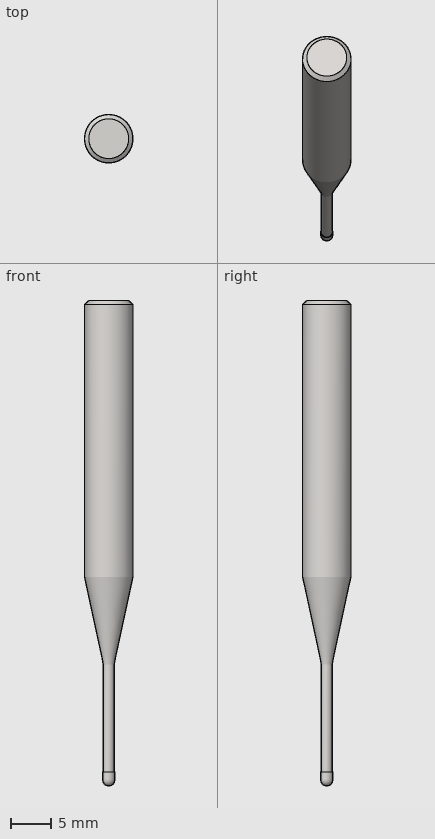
import cadquery as cq

total_length = 60.0
shank_radius = 3.0
end_chamfer_width = 0.55
end_chamfer_height = 0.5

ball_diameter = 1.5
ball_radius = ball_diameter / 2
head_top = 1.75

neck_diameter = 1.4
neck_radius = neck_diameter / 2
neck_top = 15.0
flare_radius = 0.85
flare_top = 15.85
cone_top = 25.8


def make_cutting_head():
    """Cylinder with a hemispherical lower end, revolved about Z."""
    arc_offset = ball_radius * 0.5 ** 0.5
    profile = (
        cq.Workplane("XZ")
        .moveTo(0, 0)
        .threePointArc((arc_offset, ball_radius - arc_offset), (ball_radius, ball_radius))
        .lineTo(ball_radius, head_top)
        .lineTo(0, head_top)
        .close()
    )
    return profile.revolve(360, (0, 0, 0), (0, 1, 0))


def make_shank():
    """Neck, flare, cone and chamfered shank, revolved about Z."""
    profile = (
        cq.Workplane("XZ")
        .moveTo(0, head_top)
        .lineTo(neck_radius, head_top)
        .lineTo(neck_radius, neck_top)
        .lineTo(flare_radius, flare_top)
        .lineTo(shank_radius, cone_top)
        .lineTo(shank_radius, total_length - end_chamfer_height)
        .lineTo(shank_radius - end_chamfer_width, total_length)
        .lineTo(0, total_length)
        .close()
    )
    return profile.revolve(360, (0, 0, 0), (0, 1, 0))


cutting_head = make_cutting_head()
shank = make_shank()

result = cq.Compound.makeCompound([cutting_head.val(), shank.val()])